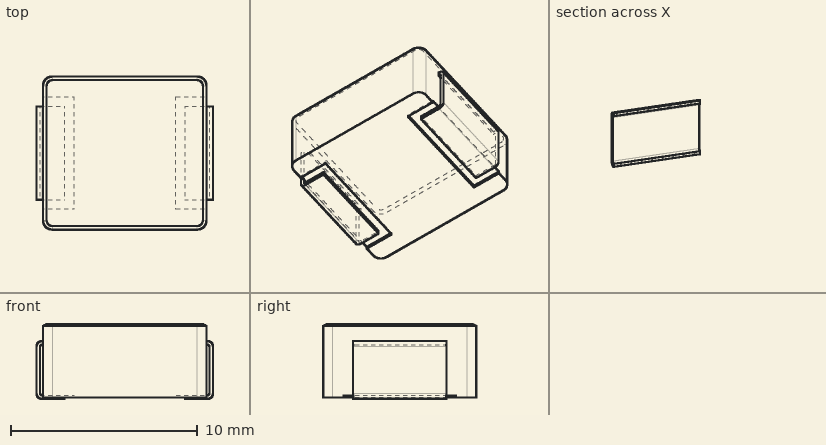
import cadquery as cq

overall_length = 9.45
overall_height = 4.0

body_length = 8.75
body_width = 8.2
standoff = 0.07
corner_radius = 0.5
bevel_inset = 0.2
bevel_drop = 0.1

strip_thickness = 0.2
strip_width = 5.0
strip_height = 3.1
foot_length = 1.5
bend_inner_radius = 0.1
bend_outer_radius = bend_inner_radius + strip_thickness

recess_clearance = 0.5
recess_width = strip_width + 2 * recess_clearance


def make_body():
    """Block with rounded upright corners and an unequal bevel around the top."""
    block = (
        cq.Workplane("XY")
        .workplane(offset=standoff)
        .rect(body_length, body_width)
        .extrude(overall_height - standoff)
        .edges("|Z")
        .fillet(corner_radius)
    )
    return block.faces(">Z").chamfer(bevel_drop, bevel_inset)


def make_recess():
    """Cutter for the foot recess at the -X end; its ceiling rests on the foot."""
    start = -overall_length / 2
    end = start + foot_length + recess_clearance
    return cq.Workplane("XY").box(
        end - start, recess_width, strip_thickness, centered=(False, True, False)
    ).translate((start, 0, 0))


def make_terminal():
    """C-shaped strip at the -X end: top arm, upright and foot under the body."""
    outer_x = -overall_length / 2
    inner_x = outer_x + strip_thickness
    body_x = -body_length / 2
    foot_tip_x = outer_x + foot_length

    envelope = (
        cq.Workplane("XY")
        .box(foot_length, strip_width, strip_height, centered=(False, True, False))
        .translate((outer_x, 0, 0))
        .edges("|Y and <X")
        .fillet(bend_outer_radius)
    )
    hollow = (
        cq.Workplane("XY")
        .box(
            foot_tip_x - inner_x,
            strip_width,
            strip_height - 2 * strip_thickness,
            centered=(False, True, False),
        )
        .translate((inner_x, 0, strip_thickness))
        .edges("|Y and <X")
        .fillet(bend_inner_radius)
    )
    arm_trim = (
        cq.Workplane("XY")
        .box(foot_tip_x - body_x, strip_width, strip_height, centered=(False, True, False))
        .translate((body_x, 0, strip_thickness))
    )
    return envelope.cut(hollow).cut(arm_trim)


def both_ends(shape):
    """The shape together with its mirror image at the +X end."""
    return shape.union(shape.mirror("YZ"))


result = make_body().cut(both_ends(make_recess())).union(both_ends(make_terminal()))